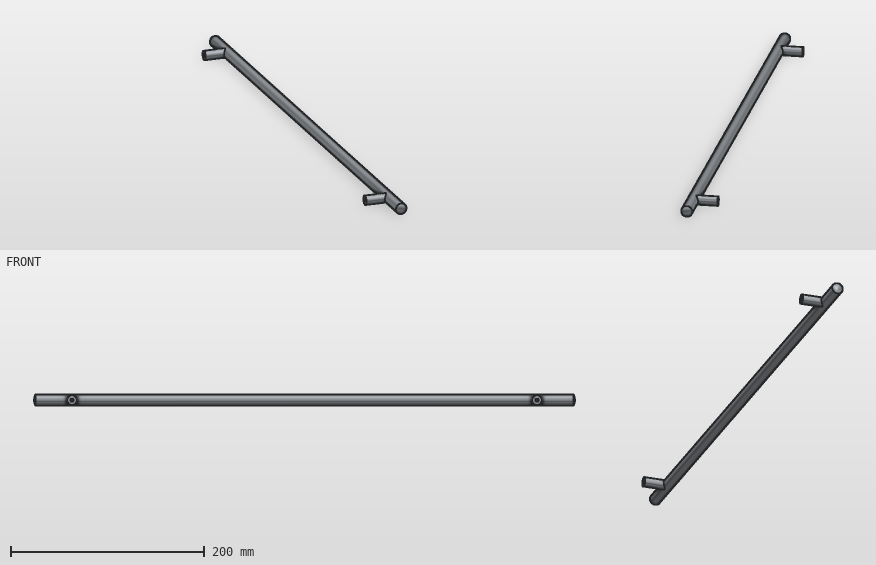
import cadquery as cq

bar_length = 559.0
bar_diameter = 12.0
end_dome_rise = 1.5
overall_depth = 32.0
post_diameter = 10.0
post_spacing = 480.0
screw_hole_diameter = 3.5
screw_hole_depth = 11.0

bar_radius = bar_diameter / 2
mounting_face_y = bar_radius - overall_depth


def domed_bar():
    """Round bar with a shallow spherical dome on each end."""
    tip_x = bar_length / 2
    rim_x = tip_x - end_dome_rise
    dome_radius = (bar_radius**2 + end_dome_rise**2) / (2 * end_dome_rise)
    return (
        cq.Workplane("XY")
        .moveTo(-tip_x, 0)
        .radiusArc((-rim_x, -bar_radius), -dome_radius)
        .lineTo(rim_x, -bar_radius)
        .radiusArc((tip_x, 0), -dome_radius)
        .close()
        .revolve(360, (0, 0, 0), (1, 0, 0))
    )


def rod_from_mounting_face(x, diameter, length):
    """Round rod starting at the mounting face and running toward the bar."""
    return (
        cq.Workplane("XZ", origin=(x, mounting_face_y, 0))
        .circle(diameter / 2)
        .extrude(-length)
    )


result = domed_bar()

for post_x in (-post_spacing / 2, post_spacing / 2):
    post = rod_from_mounting_face(post_x, post_diameter, -mounting_face_y)
    screw_hole = rod_from_mounting_face(post_x, screw_hole_diameter, screw_hole_depth)
    result = result.union(post).cut(screw_hole)